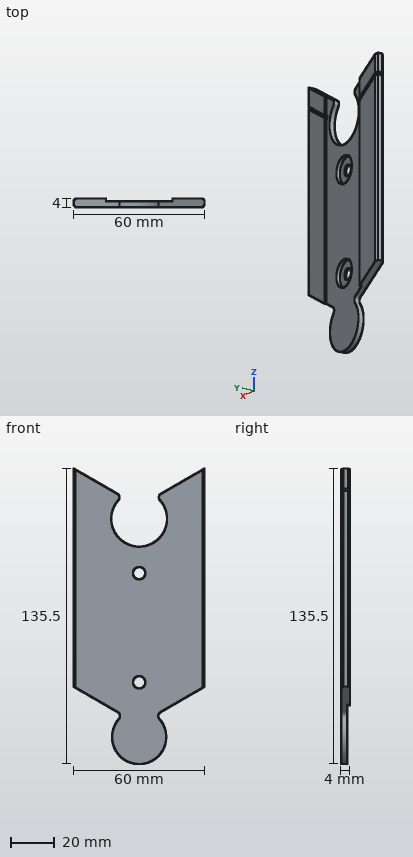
import cadquery as cq
import math

width = 60.0
thickness = 4.0
height = 135.5
pitch = 100.0
slope = math.radians(30)
edge_chamfer = 1.0
tail_radius = 12.5
tail_fillet = 2.0
notch_radius = 12.7
notch_fillet = 1.9
groove_width = 30.4
groove_depth = 1.2
hole_diameter = 5.5
hole_spacing = 50.0
lower_hole_z = 37.5
counterbore_diameter = 13.5
floor_thickness = 1.0
slot_width = 1.1
slot_drop = 9.8

half_width = width / 2
tail_z = tail_radius
notch_z = tail_z + pitch
lower_corner_z = height - pitch


def neck_points(corner_z, disc_z, disc_radius, fillet):
    """Return start, middle and end of the right-hand arc blending a sloped end into a disc."""
    slope_rise = corner_z - half_width * math.tan(slope) - fillet / math.cos(slope) - disc_z
    reach = disc_radius + fillet
    along = math.sqrt(reach**2 - (slope_rise * math.cos(slope)) ** 2) - slope_rise * math.sin(slope)
    center_x = along * math.cos(slope)
    center_z = disc_z + slope_rise + along * math.sin(slope)

    slope_point = (center_x - fillet * math.sin(slope), center_z + fillet * math.cos(slope))
    middle_point = (center_x - fillet, center_z)
    disc_point = (
        center_x * disc_radius / reach,
        disc_z + (center_z - disc_z) * disc_radius / reach,
    )
    return slope_point, middle_point, disc_point


def mirrored(point):
    return (-point[0], point[1])


def add_end(outline, corner_z, disc_z, disc_radius, fillet):
    """Draw an end from its right corner, around its disc, to the left neck."""
    start, middle, end = neck_points(corner_z, disc_z, disc_radius, fillet)
    return (
        outline.lineTo(*start)
        .threePointArc(middle, end)
        .threePointArc((0, disc_z - disc_radius), mirrored(end))
        .threePointArc(mirrored(middle), mirrored(start))
    )


def end_region(corner_z, disc_z, disc_radius, fillet, far_z):
    """Everything above one end outline, up to far_z, through the full thickness."""
    outline = cq.Workplane("XZ").moveTo(half_width, corner_z)
    outline = add_end(outline, corner_z, disc_z, disc_radius, fillet)
    return (
        outline.lineTo(-half_width, corner_z)
        .lineTo(-half_width, far_z)
        .lineTo(half_width, far_z)
        .close()
        .extrude(-thickness)
    )


def make_bar():
    """Full-height bar with chamfered long edges and a shallow groove along its back."""
    bar = cq.Workplane("XY").rect(width, thickness).extrude(height)
    bar = bar.edges("|Z").chamfer(edge_chamfer).translate((0, thickness / 2, 0))
    groove = (
        cq.Workplane("XY")
        .center(0, thickness - groove_depth / 2)
        .rect(groove_width, groove_depth)
        .extrude(height)
    )
    return bar.cut(groove)


def make_holes():
    """Screw holes with wide counterbores from the back."""
    hole_centers = [(0, lower_hole_z), (0, lower_hole_z + hole_spacing)]
    holes = (
        cq.Workplane("XZ")
        .pushPoints(hole_centers)
        .circle(hole_diameter / 2)
        .extrude(-thickness)
    )
    counterbores = (
        cq.Workplane("XZ", origin=(0, floor_thickness, 0))
        .pushPoints(hole_centers)
        .circle(counterbore_diameter / 2)
        .extrude(-(thickness - floor_thickness))
    )
    return holes.union(counterbores)


def make_side_slots():
    """Back slots parallel to the top slopes, running from the sides to the groove."""
    inner_x = groove_width / 2
    outer_z = height - slot_drop
    inner_z = outer_z - (half_width - inner_x) * math.tan(slope)
    half_slot = slot_width / 2 / math.cos(slope)
    right_slot = (
        cq.Workplane("XZ", origin=(0, floor_thickness, 0))
        .moveTo(inner_x, inner_z - half_slot)
        .lineTo(half_width, outer_z - half_slot)
        .lineTo(half_width, outer_z + half_slot)
        .lineTo(inner_x, inner_z + half_slot)
        .close()
        .extrude(-(thickness - floor_thickness))
    )
    return right_slot.union(right_slot.mirror("YZ"))


tail_region = end_region(lower_corner_z, tail_z, tail_radius, tail_fillet, height)
notch_region = end_region(height, notch_z, notch_radius, notch_fillet, height + tail_radius)

plate = make_bar().intersect(tail_region).cut(notch_region)
result = plate.cut(make_holes()).cut(make_side_slots())